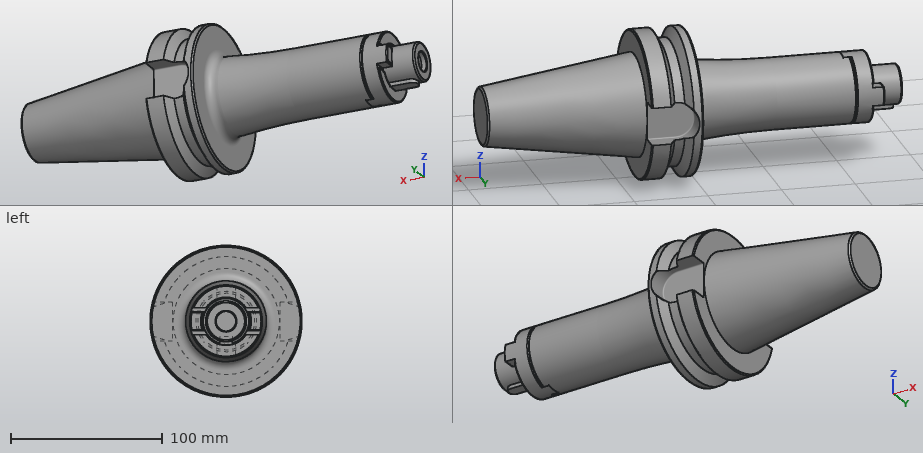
import cadquery as cq
import math

length = 283.3

pilot_diameter = 27.0
pilot_radius = pilot_diameter / 2
pilot_chamfer = 1.0
bolt_hole_diameter = 13.0
bolt_hole_depth = 4.0
bolt_hole_chamfer = 0.5

shank_start = 33.7
shank_diameter = 48.0
shank_radius = shank_diameter / 2
shank_chamfer = 0.8
flare_start = 87.8
neck_start = 136.5
neck_diameter = 53.3
neck_radius = neck_diameter / 2
neck_fillet_radius = 5.7

flange_start = 144.2
flange_diameter = 100.0
flange_radius = flange_diameter / 2
flange_front_chamfer = 1.0
flange_rear_chamfer = 0.8
groove_front_edge = 150.7
groove_floor_start = 155.0
groove_floor_end = 161.8
groove_rear_edge = 166.0
groove_radius = 42.8
flange_end = 179.0
slot_width = 25.8
slot_tip = 147.0
slot_floor_offset = 35.5
slot_floor_fillet = 0.8

taper_diameter = 70.0
taper_radius = taper_diameter / 2
taper_slope = 7 / 48
taper_end_chamfer = 1.0
taper_end_radius = taper_radius - taper_slope * (length - flange_end)

ring_front = 21.5
ring_chamfer = 0.8
ring_bore_radius = 15.0
dog_front = 14.7
dog_width = 12.7
dog_bore_radius = 16.0
dog_chamfer = 0.8
relief_width = 17.8
relief_depth = 1.0
tongue_width = 12.0
tongue_end = 38.5

key_front = 3.0
key_width = 8.5
key_outer_offset = 15.5
key_floor_offset = 10.0
key_end = shank_start


def x_cylinder(radius, start, end):
    """Solid cylinder about the X axis."""
    return cq.Workplane("YZ", origin=(start, 0, 0)).circle(radius).extrude(end - start)


def block(x_range, y_range, z_range):
    """Axis-aligned box between pairs of limits."""
    ranges = (x_range, y_range, z_range)
    size = [high - low for low, high in ranges]
    return cq.Workplane("XY").box(*size, centered=False).translate([low for low, high in ranges])


def key_blank():
    """Feather key with rounded front end, lying under the pilot."""
    half_width = key_width / 2
    return (
        cq.Workplane("XY", origin=(0, 0, -key_outer_offset))
        .moveTo(key_end, -half_width)
        .lineTo(key_front + half_width, -half_width)
        .threePointArc((key_front, 0), (key_front + half_width, half_width))
        .lineTo(key_end, half_width)
        .close()
        .extrude(key_outer_offset - key_floor_offset)
    )


def arbor_profile():
    """Half section of the arbor, revolved about the X axis."""
    flare_length = neck_start - flare_start
    flare_rise = neck_radius - shank_radius
    flare_arc_radius = (flare_length**2 + flare_rise**2) / (2 * flare_rise)
    flare_mid = flare_length / 2
    flare_mid_rise = flare_arc_radius - math.sqrt(flare_arc_radius**2 - flare_mid**2)
    fillet_start = flange_start - neck_fillet_radius
    fillet_top = neck_radius + neck_fillet_radius
    fillet_reach = neck_fillet_radius * math.sqrt(0.5)
    return (
        cq.Workplane("XY")
        .moveTo(0, 0)
        .lineTo(0, pilot_radius - pilot_chamfer)
        .lineTo(pilot_chamfer, pilot_radius)
        .lineTo(shank_start, pilot_radius)
        .lineTo(shank_start, shank_radius - shank_chamfer)
        .lineTo(shank_start + shank_chamfer, shank_radius)
        .lineTo(flare_start, shank_radius)
        .threePointArc(
            (flare_start + flare_mid, shank_radius + flare_mid_rise), (neck_start, neck_radius)
        )
        .lineTo(fillet_start, neck_radius)
        .threePointArc(
            (fillet_start + fillet_reach, fillet_top - fillet_reach), (flange_start, fillet_top)
        )
        .lineTo(flange_start, flange_radius - flange_front_chamfer)
        .lineTo(flange_start + flange_front_chamfer, flange_radius)
        .lineTo(groove_front_edge, flange_radius)
        .lineTo(groove_floor_start, groove_radius)
        .lineTo(groove_floor_end, groove_radius)
        .lineTo(groove_rear_edge, flange_radius)
        .lineTo(flange_end - flange_rear_chamfer, flange_radius)
        .lineTo(flange_end, flange_radius - flange_rear_chamfer)
        .lineTo(flange_end, taper_radius)
        .lineTo(length - taper_end_chamfer, taper_end_radius + taper_slope * taper_end_chamfer)
        .lineTo(length, taper_end_radius - taper_end_chamfer)
        .lineTo(length, 0)
        .close()
    )


def driving_slot(side):
    """Cutter for a flange slot with a round front end and a filleted flat floor; side is +1 or -1."""
    half_width = slot_width / 2
    round_centre = slot_tip + half_width
    open_end = flange_end + slot_floor_fillet
    cutter = (
        cq.Workplane("XZ", origin=(0, slot_floor_offset, 0))
        .moveTo(open_end, -half_width)
        .lineTo(round_centre, -half_width)
        .threePointArc((slot_tip, 0), (round_centre, half_width))
        .lineTo(open_end, half_width)
        .close()
        .extrude(slot_floor_offset - flange_radius)
        .faces("<Y")
        .edges()
        .fillet(slot_floor_fillet)
    )
    return cutter if side > 0 else cutter.mirror("XZ")


def cross_bar(start, end, width):
    """Bar across the full ring along Y, between two X positions."""
    half_width = width / 2
    return block((start, end), (-shank_radius, shank_radius), (-half_width, half_width))


def tongue_bar(start):
    """Bar across the full ring along Z, as wide as a tongue."""
    half_width = tongue_width / 2
    return block((start, tongue_end), (-half_width, half_width), (-shank_radius, shank_radius))


def bolt_hole():
    """Cutter for the shallow hole in the pilot tip, with its rim chamfer."""
    bolt_hole_radius = bolt_hole_diameter / 2
    return (
        cq.Workplane("XY")
        .lineTo(bolt_hole_depth, 0)
        .lineTo(bolt_hole_depth, bolt_hole_radius)
        .lineTo(bolt_hole_chamfer, bolt_hole_radius)
        .lineTo(0, bolt_hole_radius + bolt_hole_chamfer)
        .close()
        .revolve(360, (0, 0, 0), (1, 0, 0))
    )


def make_arbor():
    arbor = arbor_profile().revolve(360, (0, 0, 0), (1, 0, 0))
    arbor = arbor.cut(bolt_hole())
    for side in (1, -1):
        arbor = arbor.cut(driving_slot(side))
    tongue_space = tongue_bar(shank_start).cut(x_cylinder(ring_bore_radius, shank_start, tongue_end))
    return arbor.cut(tongue_space).cut(key_blank())


def ring_collar():
    """Chamfered collar with a flat relief across its front face."""
    collar = x_cylinder(shank_radius, ring_front, shank_start)
    collar = collar.cut(x_cylinder(ring_bore_radius, ring_front, shank_start))
    collar = collar.faces("<X").chamfer(ring_chamfer)
    collar = collar.faces(">X").edges(cq.selectors.RadiusNthSelector(-1)).chamfer(ring_chamfer)
    return collar.cut(cross_bar(ring_front, ring_front + relief_depth, relief_width))


def driving_dogs():
    """Two opposite dogs standing on the floor of the collar's relief."""
    dog_root = ring_front + relief_depth
    dogs = x_cylinder(shank_radius, dog_front, dog_root)
    dogs = dogs.cut(x_cylinder(dog_bore_radius, dog_front, dog_root))
    dogs = dogs.intersect(cross_bar(dog_front, dog_root, dog_width))
    return dogs.faces("<X").chamfer(dog_chamfer)


def ring_tongues():
    """Two opposite tongues behind the collar that lock it into the shank."""
    tongue_start = shank_start - ring_chamfer
    tongues = x_cylinder(shank_radius, tongue_start, tongue_end)
    tongues = tongues.cut(x_cylinder(ring_bore_radius, tongue_start, tongue_end))
    return tongues.intersect(tongue_bar(tongue_start))


def make_ring():
    return ring_collar().union(driving_dogs()).union(ring_tongues()).cut(key_blank())


arbor = make_arbor()
ring = make_ring()
key = key_blank()

result = cq.Compound.makeCompound([arbor.solids().val(), ring.solids().val(), key.solids().val()])